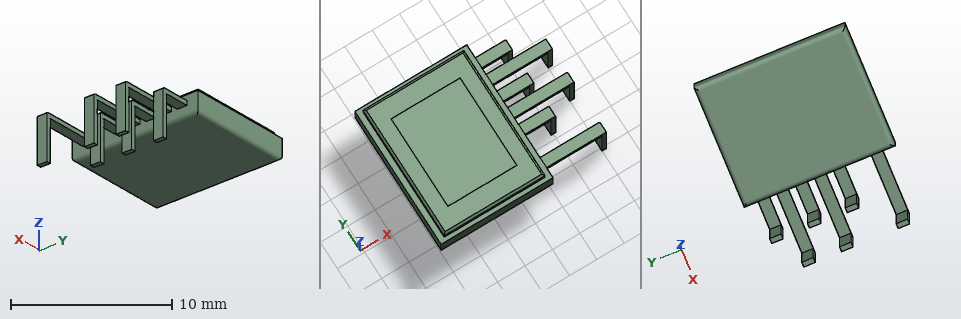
import cadquery as cq

body_length = 8.19
body_width = 10.16
body_height = 1.56
body_bottom_radius = 0.29

cap_length = 7.38
cap_width = 9.58
cap_height = 0.48
cap_chamfer = 0.16

pad_length = 5.04
pad_width = 6.68
pad_height = 0.05

lead_pitch = 1.27
lead_width = 0.775
lead_thickness = 0.34
lead_bend_radius = 0.15
lead_top_z = 1.14
lead_tip_z = -2.38
long_lead_reach = 4.46
short_lead_reach = 2.32
short_lead_slots = (3, 1, -1)
long_lead_slots = (2, 0, -3)

body_end_x = body_length / 2


def make_body():
    """Rectangular body with rounded bottom edges."""
    block = cq.Workplane("XY").box(body_length, body_width, body_height, centered=(True, True, False))
    return block.faces("<Z").edges().fillet(body_bottom_radius)


def make_cap():
    """Cap with a bevelled top rim."""
    cap = cq.Workplane("XY", origin=(0, 0, body_height))
    cap = cap.box(cap_length, cap_width, cap_height, centered=(True, True, False))
    return cap.faces(">Z").edges().chamfer(cap_chamfer)


def make_pad():
    """Thin rectangular pad standing on the cap."""
    pad = cq.Workplane("XY", origin=(0, 0, body_height + cap_height))
    return pad.box(pad_length, pad_width, pad_height, centered=(True, True, False))


def make_lead(reach, slot):
    """L-shaped lead in a pitch slot counted from Y = 0, rounded on the outside of its bend."""
    outer_x = body_end_x + reach
    inner_x = outer_x - lead_thickness
    underside_z = lead_top_z - lead_thickness
    profile = (
        cq.Workplane("XZ", origin=(0, slot * lead_pitch, 0))
        .moveTo(body_end_x, lead_top_z)
        .lineTo(outer_x - lead_bend_radius, lead_top_z)
        .tangentArcPoint((lead_bend_radius, -lead_bend_radius), relative=True)
        .lineTo(outer_x, lead_tip_z)
        .lineTo(inner_x, lead_tip_z)
        .lineTo(inner_x, underside_z)
        .lineTo(body_end_x, underside_z)
        .close()
    )
    return profile.extrude(lead_width / 2, both=True)


result = make_body().union(make_cap()).union(make_pad())
for slot in short_lead_slots:
    result = result.union(make_lead(short_lead_reach, slot))
for slot in long_lead_slots:
    result = result.union(make_lead(long_lead_reach, slot))